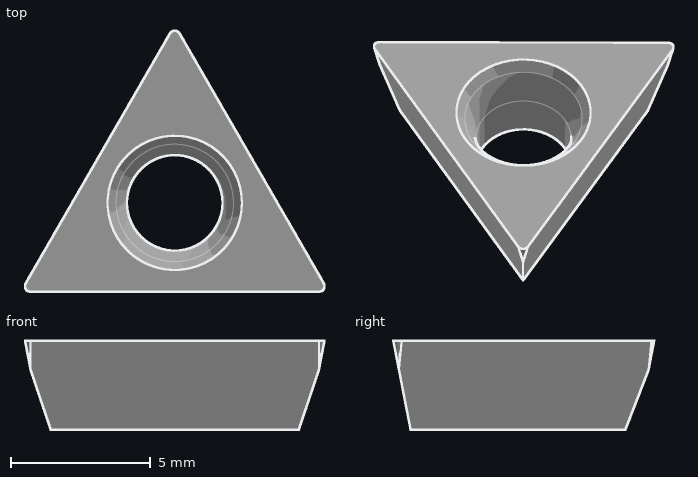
import cadquery as cq
import math

width = 10.71
thickness = 3.18
corner_radius = 0.2
relief_angle = math.radians(11)

mouth_diameter = 4.8
seat_diameter = 4.2
bore_diameter = 3.41
mouth_depth = 0.35
throat_depth = 1.52

side_count = 3
corner_distance = (width - 2 * corner_radius) / math.sqrt(3)
top_inradius = corner_distance / 2 + corner_radius
bottom_inradius = top_inradius - thickness * math.tan(relief_angle)
corner_depth = corner_radius / math.tan(relief_angle)


def polar_point(radius, degrees):
    angle = math.radians(degrees)
    return (radius * math.cos(angle), radius * math.sin(angle))


def triangle(inradius):
    """Corners of a sharp triangle pointing along +Y."""
    step = 360 / side_count
    return [polar_point(2 * inradius, 90 + step * i) for i in range(side_count)]


def tapered_body():
    return (
        cq.Workplane("XY")
        .polyline(triangle(bottom_inradius)).close()
        .workplane(offset=thickness)
        .polyline(triangle(top_inradius)).close()
        .loft(ruled=True, combine=True)
    )


def corner_waste():
    """Material outside the round of the +Y corner, which fades to a sharp edge below."""
    tangent_x, tangent_y = polar_point(corner_radius, 30)
    tip = cq.Vector(0, 2 * top_inradius, thickness)
    right = cq.Vector(tangent_x, corner_distance + tangent_y, thickness)
    left = cq.Vector(-right.x, right.y, thickness)
    apex = cq.Vector(0, corner_distance, thickness - corner_depth)
    triples = [(tip, right, left), (tip, right, apex), (tip, left, apex), (left, right, apex)]
    faces = [cq.Face.makeFromWires(cq.Wire.makePolygon(t, close=True)) for t in triples]
    wedge = cq.Solid.makeSolid(cq.Shell.makeShell(faces))
    cone = cq.Solid.makeCone(0, corner_radius, corner_depth, pnt=apex)
    return cq.Workplane(wedge).cut(cq.Workplane(cone))


def screw_hole():
    mouth_radius = mouth_diameter / 2
    seat_radius = seat_diameter / 2
    bore_radius = bore_diameter / 2
    throat_height = thickness - throat_depth
    return (
        cq.Workplane("XZ")
        .moveTo(0, 0)
        .lineTo(bore_radius, 0)
        .lineTo(bore_radius, throat_height)
        .tangentArcPoint((seat_radius, thickness - mouth_depth), relative=False)
        .lineTo(mouth_radius, thickness)
        .lineTo(0, thickness)
        .close()
        .revolve(360, (0, 0, 0), (0, 1, 0))
    )


result = tapered_body()
for corner in range(side_count):
    turn = 360 / side_count * corner
    result = result.cut(corner_waste().rotate((0, 0, 0), (0, 0, 1), turn))
result = result.cut(screw_hole())